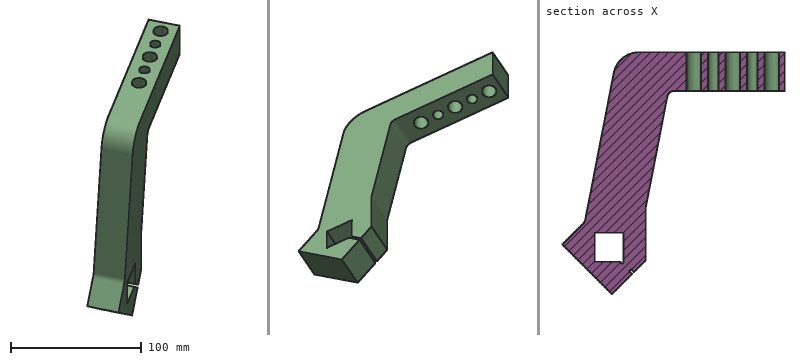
import cadquery as cq
import math


width = 25.0

arm_height = 30.0
hole_diameters = (11.0, 8.0, 11.0, 8.0, 11.0)
first_hole_distance = 10.0
hole_pitch = 15.0

leg_angle = math.radians(11.0)
leg_thickness = 44.0
leg_inner_y = -89.4
outer_bend_radius = 20.0
inner_bend_radius = 5.0

window_y = -135.0
window_z = -150.0
window_size = 22.0
head_half_length = 27.0
head_base_offset = 24.0
head_back_y = window_y + 28.2
head_bend_radius = 6.0

slit_width = 2.0
pin_diameter = 8.0
pin_offset = 20.0
pin_overlap = 1.0

head_plane = cq.Plane(origin=(0, window_y, window_z), xDir=(0, -1, 1), normal=(-1, 0, 0))


def head_point(along, across):
    """Y and Z of a point given in the head's tilted frame."""
    point = head_plane.toWorldCoords((along, across))
    return (point.y, point.z)


def make_body():
    """Extrude the outline of arm, leg and head, then round its three bends."""
    slope = math.tan(leg_angle)
    leg_outer_y = leg_inner_y + arm_height * slope - leg_thickness / math.cos(leg_angle)

    corner_y, corner_z = head_point(head_half_length, -head_base_offset)
    shoulder_z = (leg_outer_y + corner_z - corner_y) / (1.0 - slope)
    shoulder_y = leg_outer_y + slope * shoulder_z

    tip_y, tip_z = head_point(-head_half_length, -head_base_offset)
    back_bottom_z = tip_z + head_back_y - tip_y
    back_top_z = -arm_height + (head_back_y - leg_inner_y) / slope

    inner_bend = (leg_inner_y, -arm_height)
    outer_bend = (leg_outer_y, 0)
    shoulder = (shoulder_y, shoulder_z)
    outline = [
        (0, 0),
        (0, -arm_height),
        inner_bend,
        (head_back_y, back_top_z),
        (head_back_y, back_bottom_z),
        (tip_y, tip_z),
        (corner_y, corner_z),
        shoulder,
        outer_bend,
    ]
    body = cq.Workplane("YZ").polyline(outline).close().extrude(width / 2, both=True)

    bends = (
        (inner_bend, inner_bend_radius),
        (outer_bend, outer_bend_radius),
        (shoulder, head_bend_radius),
    )
    for (y, z), radius in bends:
        body = body.edges("|X").edges(cq.NearestToPointSelector((0, y, z))).fillet(radius)
    return body


def make_arm_holes():
    """Row of vertical cylinders through the arm, on its centre line."""
    holes = cq.Workplane("XY")
    for index, diameter in enumerate(hole_diameters):
        y = -(first_hole_distance + index * hole_pitch)
        hole = cq.Workplane("XY").center(0, y).circle(diameter / 2).extrude(-arm_height)
        holes = holes.add(hole)
    return holes.combine()


def make_window():
    """Square through window, upright in the tilted head."""
    return cq.Workplane("XY").box(width, window_size, window_size).translate((0, window_y, window_z))


def make_slit():
    """Slot just below the window's diagonal, from the window centre out through the lower end face."""
    slit = cq.Workplane(head_plane).center(-head_half_length / 2, -slit_width / 2)
    return slit.rect(head_half_length, slit_width).extrude(width / 2, both=True)


def make_pin():
    """Pin crossing the slit, square to it and midway across the width."""
    pin_length = slit_width + 2 * pin_overlap
    start_y, start_z = head_point(-pin_offset, -slit_width - pin_overlap)
    pin_plane = cq.Plane(origin=(0, start_y, start_z), xDir=(1, 0, 0), normal=head_plane.yDir)
    return cq.Workplane(pin_plane).circle(pin_diameter / 2).extrude(pin_length)


body = make_body()
body = body.cut(make_arm_holes())
body = body.cut(make_window())
body = body.cut(make_slit())
result = body.union(make_pin())